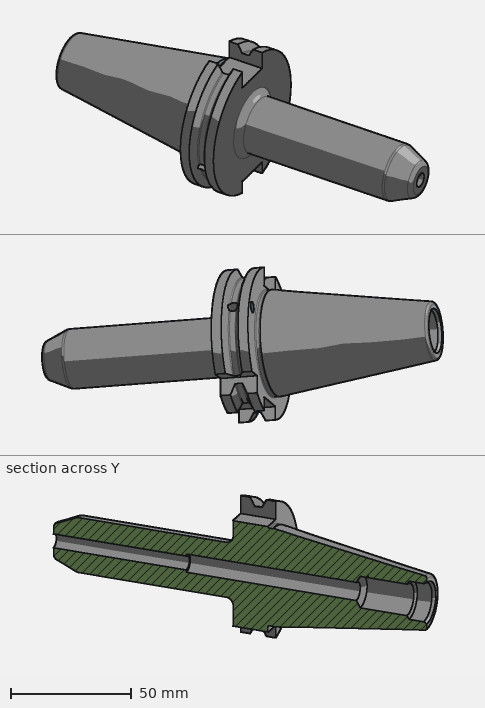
import cadquery as cq
import math


taper_length = 68.4
gauge_diameter = 44.45
taper_ratio = 7 / 24
taper_end_round = 1.2

undercut_diameter = 44.25
undercut_start = 0.75
undercut_entry_radius = 1.5
undercut_corner_radius = 0.5

flange_diameter = 63.55
flange_start = 3.2
flange_end = 19.1
groove_center = 11.1
groove_floor_diameter = 56.25
groove_floor_width = 3.1
groove_wall_angle = 30.0
groove_corner_radius = 0.6

nose_length = 100.0
shank_diameter = 25.0
shank_fillet = 3.0
tip_cone_start = 89.3
tip_cone_angle = 24.0
tip_shoulder_round = 2.5
tip_end_round = 2.5

counterbore_diameter = 17.0
counterbore_depth = 8.0
counterbore_mouth_diameter = 18.6
counterbore_mouth_angle = 30.0
thread_bore_diameter = 14.0
thread_bore_depth = 30.0
drill_tip_half_angle = 59.0
middle_bore_diameter = 8.0
middle_bore_end = 40.0
through_bore_diameter = 6.0

slot_width = 16.1
top_slot_floor = 22.7
bottom_slot_floor = 25.0
notch_side = 18.5
notch_top = -18.5

coolant_diameter = 4.2
coolant_radius = 27.0
coolant_direction = 20.0
coolant_slant = 33.0
radial_hole_bottom = 18.0

edge_tolerance = 0.01


def make_body():
    """Solid of revolution: taper, undercut, flange with V groove, shank and tip."""
    gauge_radius = gauge_diameter / 2
    taper_end_radius = gauge_radius - taper_length * taper_ratio / 2
    taper_large_radius = gauge_radius + undercut_start * taper_ratio / 2
    undercut_radius = undercut_diameter / 2
    undercut_step = taper_large_radius - undercut_radius
    entry_length = math.sqrt(2 * undercut_entry_radius * undercut_step - undercut_step**2)
    flange_radius = flange_diameter / 2
    floor_radius = groove_floor_diameter / 2
    half_floor = groove_floor_width / 2
    half_mouth = half_floor + (flange_radius - floor_radius) * math.tan(math.radians(groove_wall_angle))
    shank_radius = shank_diameter / 2
    tip_cone_drop = (nose_length - tip_cone_start) * math.tan(math.radians(tip_cone_angle))
    body = (
        cq.Workplane("XY")
        .moveTo(-taper_length, 0)
        .lineTo(-taper_length, taper_end_radius)
        .lineTo(undercut_start, taper_large_radius)
        .radiusArc((undercut_start + entry_length, undercut_radius), -undercut_entry_radius)
        .lineTo(flange_start - undercut_corner_radius, undercut_radius)
        .radiusArc((flange_start, undercut_radius + undercut_corner_radius), -undercut_corner_radius)
        .lineTo(flange_start, flange_radius)
        .lineTo(groove_center - half_mouth, flange_radius)
        .lineTo(groove_center - half_floor, floor_radius)
        .lineTo(groove_center + half_floor, floor_radius)
        .lineTo(groove_center + half_mouth, flange_radius)
        .lineTo(flange_end, flange_radius)
        .lineTo(flange_end, shank_radius + shank_fillet)
        .radiusArc((flange_end + shank_fillet, shank_radius), -shank_fillet)
        .lineTo(tip_cone_start, shank_radius)
        .lineTo(nose_length, shank_radius - tip_cone_drop)
        .lineTo(nose_length, 0)
        .close()
        .revolve(360, (0, 0, 0), (1, 0, 0))
    )
    body = round_edge(body, -taper_length, taper_end_radius, taper_end_round)
    body = round_edge(body, groove_center - half_floor, floor_radius, groove_corner_radius)
    body = round_edge(body, groove_center + half_floor, floor_radius, groove_corner_radius)
    body = round_edge(body, nose_length, shank_radius - tip_cone_drop, tip_end_round)
    return round_edge(body, tip_cone_start, shank_radius, tip_shoulder_round)


def round_edge(body, x, radius, round_radius):
    """Fillet the full circle of the given radius that lies at x."""
    reach = radius + edge_tolerance
    corner = cq.selectors.BoxSelector(
        (x - edge_tolerance, -reach, -reach), (x + edge_tolerance, reach, reach), boundingbox=True
    )
    return body.edges(corner).fillet(round_radius)


def make_bore():
    """Revolved cutter for the counterbore, thread bore, middle bore and through bore."""
    mouth = -taper_length
    counterbore_radius = counterbore_diameter / 2
    thread_radius = thread_bore_diameter / 2
    middle_radius = middle_bore_diameter / 2
    through_radius = through_bore_diameter / 2
    counterbore_end = mouth + counterbore_depth
    thread_end = mouth + thread_bore_depth
    mouth_flare = counterbore_mouth_diameter / 2 - counterbore_radius
    mouth_chamfer = mouth_flare / math.tan(math.radians(counterbore_mouth_angle))
    lead_in = (counterbore_radius - thread_radius) / math.tan(math.radians(drill_tip_half_angle))
    drill_tip = (thread_radius - middle_radius) / math.tan(math.radians(drill_tip_half_angle))
    outline = [
        (mouth, 0),
        (mouth, counterbore_mouth_diameter / 2),
        (mouth + mouth_chamfer, counterbore_radius),
        (counterbore_end, counterbore_radius),
        (counterbore_end + lead_in, thread_radius),
        (thread_end, thread_radius),
        (thread_end + drill_tip, middle_radius),
        (middle_bore_end, middle_radius),
        (middle_bore_end, through_radius),
        (nose_length, through_radius),
        (nose_length, 0),
    ]
    return cq.Workplane("XY").polyline(outline).close().revolve(360, (0, 0, 0), (1, 0, 0))


def flange_block(y_min, y_max, z_min, z_max):
    """Box over the full flange width."""
    size = (flange_end - flange_start, y_max - y_min, z_max - z_min)
    return cq.Workplane("XY").box(*size, centered=False).translate((flange_start, y_min, z_min))


def cut_slots(body):
    """Two drive slots of unequal depth and the orientation notch."""
    half_slot = slot_width / 2
    flange_radius = flange_diameter / 2
    body = body.cut(flange_block(-half_slot, half_slot, top_slot_floor, flange_radius))
    body = body.cut(flange_block(-half_slot, half_slot, -flange_radius, -bottom_slot_floor))
    return body.cut(flange_block(notch_side, flange_radius, -flange_radius, notch_top))


def make_coolant_channel(direction):
    """Slanted hole and radial hole, turned about X to the given direction from +Y."""
    hole_radius = coolant_diameter / 2
    slant = math.radians(coolant_slant)
    inward = cq.Vector(math.cos(slant), -math.sin(slant), 0)
    face_point = cq.Vector(flange_start, coolant_radius, 0)
    start_overrun = coolant_diameter
    slanted_length = (groove_center - flange_start) / math.cos(slant)
    slanted = cq.Solid.makeCylinder(
        hole_radius, start_overrun + slanted_length, face_point - inward * start_overrun, inward
    )
    radial = cq.Solid.makeCylinder(
        hole_radius,
        flange_diameter / 2 - radial_hole_bottom,
        cq.Vector(groove_center, radial_hole_bottom, 0),
        cq.Vector(0, 1, 0),
    )
    channel = cq.Workplane(slanted).union(cq.Workplane(radial))
    return channel.rotate((0, 0, 0), (1, 0, 0), direction)


result = cut_slots(make_body().cut(make_bore()))
for direction in (coolant_direction, coolant_direction + 180):
    result = result.cut(make_coolant_channel(direction))